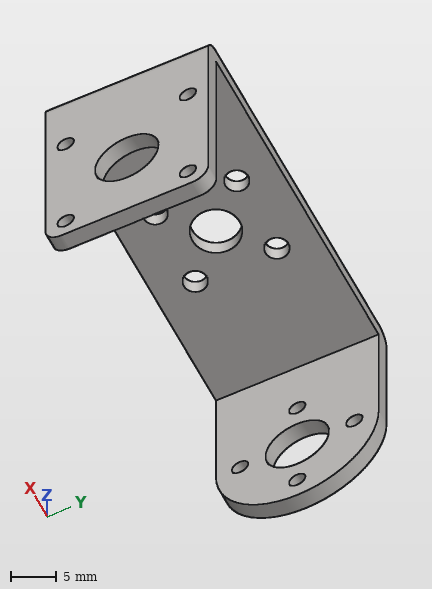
import cadquery as cq

length = 44.5
width = 20.0
height = 26.9
thickness = 2.0
bend_radius = thickness

top_bore = 5.8
top_hole = 2.8
top_hole_pitch = 10.0

flange_bore = 7.8
flange_hole = 2.0
round_bolt_circle = 14.0
square_hole_pitch = 15.0
corner_radius = 2.0

round_end_radius = width / 2
bore_z = round_end_radius
left_x = -length / 2
right_x = length / 2 - thickness


def cross_hole(start_x, points, diameter):
    """Cutter along X through one flange, at (y, z) points."""
    return (
        cq.Workplane("YZ", origin=(start_x, 0, bore_z))
        .pushPoints(points)
        .circle(diameter / 2)
        .extrude(thickness)
    )


def square_points(pitch):
    half = pitch / 2
    return [(a, b) for a in (-half, half) for b in (-half, half)]


body = cq.Workplane("XY").box(length, width, height, centered=(True, True, False))
body = body.edges("|Y and >Z").fillet(bend_radius)
channel = cq.Workplane("XY").box(
    length - 2 * thickness, width, height - thickness, centered=(True, True, False)
)
body = body.cut(channel)

left_end = cq.Workplane("XY", origin=(left_x, 0, 0)).box(
    thickness, width, bore_z, centered=(False, True, False)
)
body = body.cut(left_end.cut(cross_hole(left_x, [(0, 0)], width)))

body = body.edges("|X and <Z").edges(">X").fillet(corner_radius)

bolt_radius = round_bolt_circle / 2
axis_points = [(bolt_radius, 0), (-bolt_radius, 0), (0, bolt_radius), (0, -bolt_radius)]
body = body.cut(cross_hole(left_x, [(0, 0)], flange_bore))
body = body.cut(cross_hole(left_x, axis_points, flange_hole))

body = body.cut(cross_hole(right_x, [(0, 0)], flange_bore))
body = body.cut(cross_hole(right_x, square_points(square_hole_pitch), flange_hole))

top_plane = cq.Workplane("XY", origin=(0, 0, height - thickness))
body = body.cut(top_plane.circle(top_bore / 2).extrude(thickness))
body = body.cut(
    top_plane.pushPoints(square_points(top_hole_pitch)).circle(top_hole / 2).extrude(thickness)
)

result = body